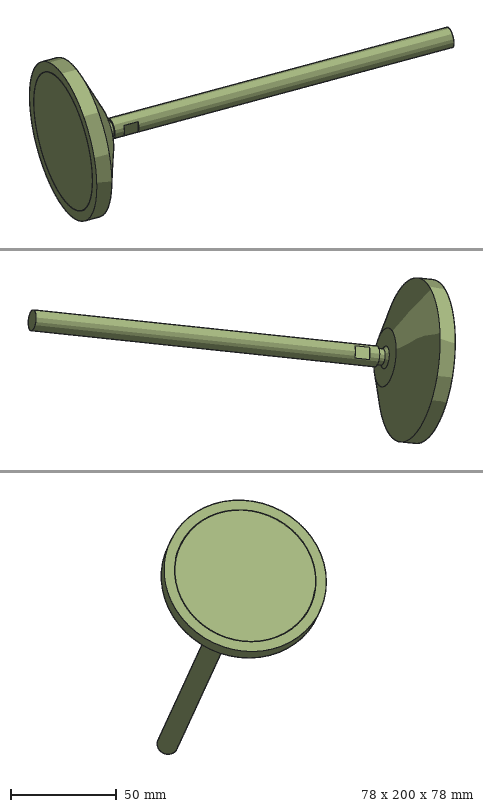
import cadquery as cq

TOTAL_LENGTH = 200.0

FOOT_DIAMETER = 78.0
FOOT_TOP_DIAMETER = 28.0
RIM_HEIGHT = 7.8
FOOT_HEIGHT = 20.0
RECESS_DIAMETER = 68.0
RECESS_DEPTH = 2.0

PAD_DIAMETER = 67.5

SPINDLE_DIAMETER = 10.0
NECK_DIAMETER = 7.8
FLARE_DIAMETER = 10.8
FLARE_HEIGHT = (FLARE_DIAMETER - NECK_DIAMETER) / 2
NECK_LENGTH = 3.2
FLAT_START = 29.5
FLAT_LENGTH = 7.5
ACROSS_FLATS = 8.0

foot_radius = FOOT_DIAMETER / 2
spindle_radius = SPINDLE_DIAMETER / 2
neck_radius = NECK_DIAMETER / 2
ground_y = 0.0
top_y = ground_y + FOOT_HEIGHT
neck_start_y = top_y + FLARE_HEIGHT
shank_start_y = neck_start_y + NECK_LENGTH
tip_y = ground_y + TOTAL_LENGTH


def disc(diameter, start_y, height):
    """Round disc on the Y axis, rising from start_y."""
    return cq.Workplane("XZ", origin=(0, start_y, 0)).circle(diameter / 2).extrude(-height)


def make_footed_spindle():
    """Foot and spindle turned in one piece, with a pad recess and two wrench flats."""
    body = (
        cq.Workplane("XY")
        .moveTo(0, ground_y)
        .lineTo(foot_radius, ground_y)
        .lineTo(foot_radius, ground_y + RIM_HEIGHT)
        .lineTo(FOOT_TOP_DIAMETER / 2, top_y)
        .lineTo(FLARE_DIAMETER / 2, top_y)
        .lineTo(neck_radius, neck_start_y)
        .lineTo(neck_radius, shank_start_y)
        .lineTo(spindle_radius, shank_start_y)
        .lineTo(spindle_radius, tip_y)
        .lineTo(0, tip_y)
        .close()
        .revolve(360, (0, 0, 0), (0, 1, 0))
    )
    body = body.cut(disc(RECESS_DIAMETER, ground_y, RECESS_DEPTH))
    return cut_wrench_flats(body)


def cut_wrench_flats(body):
    """Cut one flat on each X side of the spindle."""
    flat_center_x = (ACROSS_FLATS + SPINDLE_DIAMETER) / 2
    flat_center_y = FLAT_START + FLAT_LENGTH / 2
    for side in (-1, 1):
        cutter = cq.Workplane("XY", origin=(side * flat_center_x, flat_center_y, 0)).box(
            SPINDLE_DIAMETER, FLAT_LENGTH, SPINDLE_DIAMETER
        )
        body = body.cut(cutter)
    return body


def make_pad():
    """Flat pad filling the recess in the ground face."""
    return disc(PAD_DIAMETER, ground_y, RECESS_DEPTH)


footed_spindle = make_footed_spindle()
pad = make_pad()

result = cq.Compound.makeCompound([footed_spindle.val(), pad.val()])